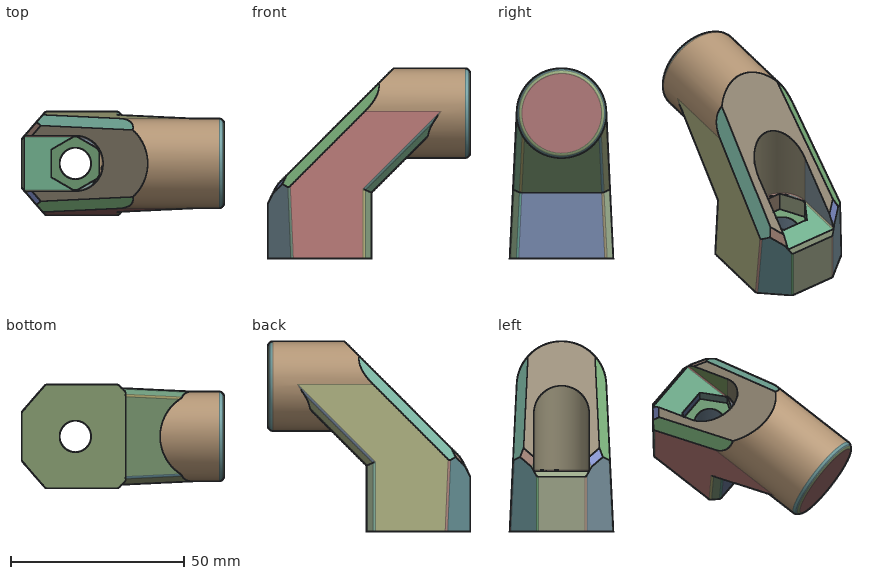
import cadquery as cq
import math

foot_length = 30.0
foot_width = 30.0
front_x = -15.5
back_x = front_x + foot_length

tube_radius = 13.0
tube_axis_z = 42.0
tube_top_z = tube_axis_z + tube_radius
tube_end_x = front_x + 58.5
tube_end_chamfer = 1.0
tube_end_fillet = 1.15

top_slope_front_z = 18.6
top_slope_end_x = front_x + tube_top_z - top_slope_front_z
under_slope_back_z = 19.1

side_chamfer = 2.9
front_break_length = 2.65
front_break_drop = 2.75
corner_break_length = 2.15
corner_break_drop = 1.3

front_corner_length = 6.9
front_corner_depth = 7.95
back_chamfer = 2.15
edge_fillet = 1.0

seat_radius = 8.0
seat_floor_z = 17.5
seat_floor_fillet = 0.35
hex_depth = 5.95
bolt_hole_diameter = 9.0

half_width = foot_width / 2
draft = math.acos(tube_radius / math.hypot(half_width, tube_axis_z)) - math.atan2(tube_axis_z, half_width)
tangent_y = tube_radius * math.cos(draft)
tangent_z = tube_axis_z + tube_radius * math.sin(draft)
arm_end_x = back_x + tangent_z - under_slope_back_z
half_width_at_top = half_width - tube_top_z * math.tan(draft)


def drafted_block():
    """Prism along X with flat drafted sides, as tall as the part."""
    return (
        cq.Workplane("YZ", origin=(front_x, 0, 0))
        .polyline([
            (-half_width, 0),
            (half_width, 0),
            (half_width_at_top, tube_top_z),
            (-half_width_at_top, tube_top_z),
        ])
        .close()
        .extrude(arm_end_x - front_x)
    )


def round_topped_block():
    """The same prism with its top rounded to the tube radius."""
    return (
        cq.Workplane("YZ", origin=(front_x, 0, 0))
        .moveTo(-half_width, 0)
        .lineTo(half_width, 0)
        .lineTo(tangent_y, tangent_z)
        .threePointArc((0, tube_top_z), (-tangent_y, tangent_z))
        .close()
        .extrude(arm_end_x - front_x)
    )


def side_profile():
    """Foot and leaning arm as a plate in XZ."""
    return (
        cq.Workplane("XZ")
        .polyline([
            (front_x, 0),
            (back_x, 0),
            (back_x, under_slope_back_z),
            (arm_end_x, tangent_z),
            (arm_end_x, tube_top_z),
            (top_slope_end_x, tube_top_z),
            (front_x, top_slope_front_z),
        ])
        .close()
        .extrude(foot_width, both=True)
    )


def front_corner():
    """Wedge that slants the +Y front corner of the foot."""
    return (
        cq.Workplane("XY")
        .polyline([
            (front_x, half_width),
            (front_x + front_corner_length, half_width),
            (front_x, half_width - front_corner_depth),
        ])
        .close()
        .extrude(tube_top_z)
    )


def corner_break():
    """Block above the sloped facet between the top slope and the +Y slanted corner."""
    corner_y = half_width - front_corner_depth
    edge = cq.Vector(front_corner_length, front_corner_depth, front_corner_length)
    across = cq.Vector(corner_break_length, 0, corner_break_length + corner_break_drop)
    facet = cq.Plane(
        origin=(front_x, corner_y, top_slope_front_z - corner_break_drop),
        xDir=edge,
        normal=across.cross(edge),
    )
    return cq.Workplane(facet).rect(2 * foot_length, 2 * foot_width).extrude(foot_length)


def front_break():
    """Wedge above the facet between the top slope and the front face."""
    return (
        cq.Workplane("XZ")
        .polyline([
            (front_x, top_slope_front_z - front_break_drop),
            (front_x + front_break_length, top_slope_front_z + front_break_length),
            (front_x, top_slope_front_z + front_break_length),
        ])
        .close()
        .extrude(foot_width, both=True)
    )


def tube():
    """Tube with a chamfered end whose two edges are softened, starting where the top slope ends."""
    body = (
        cq.Workplane("YZ", origin=(top_slope_end_x, 0, tube_axis_z))
        .circle(tube_radius)
        .extrude(tube_end_x - top_slope_end_x)
        .faces(">X")
        .chamfer(tube_end_chamfer)
    )
    softened = body.faces(">X").edges().add(body.faces("%CONE").edges("%CIRCLE"))
    return softened.fillet(tube_end_fillet)


def arm():
    """Foot and leaning arm with all edge breaks, before the tube and the bolt seat."""
    body = drafted_block().intersect(side_profile())
    body = body.faces("+(-1,0,1)").edges("not |Y").chamfer(side_chamfer)

    under_edges = body.faces("+(1,0,-1)").edges("not |Y")
    back_edges = body.faces("+X").faces("<X").edges("not |Y")
    body = back_edges.add(under_edges).chamfer(back_chamfer)

    behind = cq.selectors.BoxSelector(
        (back_x - 2 * back_chamfer, -foot_width, 0.6),
        (arm_end_x - 0.6, foot_width, tangent_z - 0.6),
    )
    body = body.faces("<Y or >Y").edges(behind).fillet(edge_fillet)
    body = body.faces("+X").faces("<X").edges("not |Y").fillet(edge_fillet)
    body = body.faces("+(1,0,-1)").edges("%LINE").edges(behind).edges("not |Y").fillet(edge_fillet)

    corner = front_corner()
    body = body.cut(corner).cut(corner.mirror("XZ"))
    upright = cq.selectors.BoxSelector((front_x - 0.6, -foot_width, 0.6), (-0.6, foot_width, seat_floor_z))
    body = body.edges(upright).edges("not #Z").fillet(edge_fillet)

    facet = corner_break()
    body = body.cut(facet).cut(facet.mirror("XZ")).cut(front_break())
    return body.intersect(round_topped_block())


def bolt_seat():
    """Cutter for the slot, the nut pocket in its floor and the bolt hole below."""
    slot_height = tube_top_z - seat_floor_z
    floor = cq.Workplane("XY", origin=(0, 0, seat_floor_z))
    slot = floor.circle(seat_radius).extrude(slot_height)
    opening = floor.center(front_x, 0).rect(-2 * front_x, 2 * seat_radius).extrude(slot_height)
    slot = slot.union(opening).faces("<Z").edges("not(<X)").fillet(seat_floor_fillet)
    pocket = floor.transformed(rotate=(0, 0, 30)).polygon(6, 2 * seat_radius).extrude(-hex_depth)
    hole = cq.Workplane("XY").circle(bolt_hole_diameter / 2).extrude(seat_floor_z)
    return slot.union(pocket).union(hole)


result = arm().union(tube()).cut(bolt_seat())